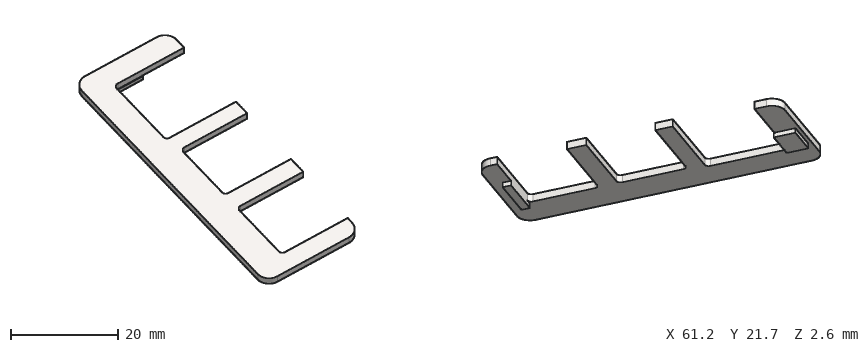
import cadquery as cq

length = 61.2
depth = 21.7
total_height = 2.6
plate_thickness = 1.6
corner_radius = 2.65

slot_corner_radius = 0.8
deep_floor = 5.6
shallow_floor = 6.5
last_slot_right = 57.15
slots = [
    (5.1, 21.6, deep_floor),
    (25.15, 39.1, shallow_floor),
    (43.0, last_slot_right, shallow_floor),
]

pad_height = total_height - plate_thickness
pad_front = 6.0
left_pad_start = 0.8
left_pad_end = 5.2
left_pad_back = 12.25
right_pad_end = 58.9
right_pad_back = 15.05


def box_between(x_start, x_end, y_start, y_end, z_start, height):
    """Box given by its X and Y limits, its bottom and its height."""
    return cq.Workplane("XY").box(
        x_end - x_start, y_end - y_start, height, centered=False
    ).translate((x_start, y_start, z_start))


def slot_cutter(left, right, floor):
    """Slot open at the back, with its two floor corners rounded."""
    cutter = box_between(left, right, floor, depth, 0, plate_thickness)
    return cutter.edges("|Z and <Y").fillet(slot_corner_radius)


def pad(x_start, x_end, y_end):
    """Pad hanging from the underside of the plate."""
    return box_between(x_start, x_end, pad_front, y_end, -pad_height, pad_height)


plate = box_between(0, length, 0, depth, 0, plate_thickness)
plate = plate.edges("|Z").fillet(corner_radius)
for left, right, floor in slots:
    plate = plate.cut(slot_cutter(left, right, floor))

left_pad = pad(left_pad_start, left_pad_end, left_pad_back)
right_pad = pad(last_slot_right, right_pad_end, right_pad_back)
result = plate.union(left_pad).union(right_pad)